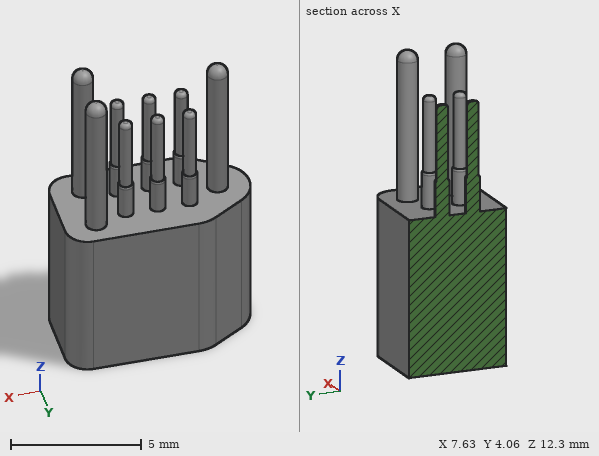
import cadquery as cq
import math

total_height = 12.34

body_length = 7.63
body_width = 4.06
body_height = 6.35
rear_corner_radius = 0.89
nose_radius = 1.27

pitch = 1.27
row_y = pitch / 2
guide_x = 2 * pitch
guide_y = 1.01

guide_radius = 0.41
guide_height = total_height - body_height
guide_tip_rounding = 0.4

contact_radius = 0.253
contact_height = 4.47
contact_tip_rounding = 0.17
collar_radius = 0.302
collar_straight_height = 1.35
collar_rounding = 0.12


def make_body():
    """Extrude a rectangle that tapers, through tangent arcs, to a round nose on the -X side."""
    half_width = body_width / 2
    rear_x = body_length / 2
    front_x = -rear_x
    nose_x = front_x + nose_radius
    shoulder_x = -pitch
    shoulder_radius = half_width - row_y

    center_dx = shoulder_x - nose_x
    center_distance = math.hypot(center_dx, row_y)
    slope = math.atan2(row_y, center_dx) + math.asin((shoulder_radius - nose_radius) / center_distance)

    def shoulder_point(angle):
        return (shoulder_x - shoulder_radius * math.sin(angle), row_y + shoulder_radius * math.cos(angle))

    def mirrored(point):
        return (point[0], -point[1])

    nose_end = (nose_x - nose_radius * math.sin(slope), nose_radius * math.cos(slope))
    shoulder_start = shoulder_point(slope)
    shoulder_middle = shoulder_point(slope / 2)
    shoulder_end = shoulder_point(0)

    return (
        cq.Workplane("XY")
        .moveTo(*mirrored(nose_end))
        .threePointArc((front_x, 0), nose_end)
        .lineTo(*shoulder_start)
        .threePointArc(shoulder_middle, shoulder_end)
        .lineTo(rear_x, half_width)
        .lineTo(rear_x, -half_width)
        .lineTo(*mirrored(shoulder_end))
        .threePointArc(mirrored(shoulder_middle), mirrored(shoulder_start))
        .close()
        .extrude(body_height)
        .edges("|Z and >X")
        .fillet(rear_corner_radius)
    )


def rounded_pin(x, y, radius, height, rounding):
    """Make a pin that stands on the body and has a rounded tip."""
    return (
        cq.Workplane("XY", origin=(x, y, body_height))
        .circle(radius)
        .extrude(height)
        .faces(">Z")
        .edges()
        .fillet(rounding)
    )


def contact_pin(x, y):
    """Make a contact pin whose wider foot ends in a rounded collar."""
    collar_height = collar_straight_height + collar_rounding
    foot = rounded_pin(x, y, collar_radius, collar_height, collar_rounding)
    return rounded_pin(x, y, contact_radius, contact_height, contact_tip_rounding).union(foot)


result = make_body()

for x, y in [(-guide_x, 0), (guide_x, guide_y), (guide_x, -guide_y)]:
    result = result.union(rounded_pin(x, y, guide_radius, guide_height, guide_tip_rounding))

for column in (-1, 0, 1):
    for y in (-row_y, row_y):
        result = result.union(contact_pin(column * pitch, y))